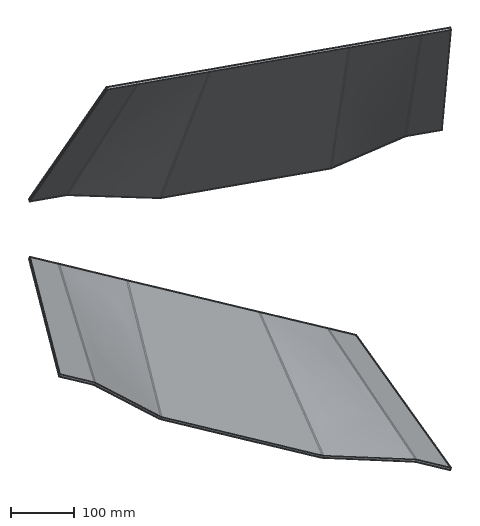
import cadquery as cq
import math

length_x = 236.0
width_y = 675.0
height_z = 358.5
thickness = 4.4

bottom_edge_y = width_y / 2
top_edge_y = 281.5
bottom_outer_fold_y = 277.5
top_outer_fold_y = 232.0
bottom_inner_fold_y = 140.0
top_inner_fold_y = 114.0

middle_setback_x = 50.5

bend_width = 3.0


def sheet_normal(run, rise):
    """Thickness offset, toward +X and -Z, of a panel with this run and rise."""
    slope_length = math.hypot(run, rise)
    return cq.Vector(rise, 0, -run) * (thickness / slope_length)


wing_offset = sheet_normal(length_x, height_z)
back_bottom_x = wing_offset.x
back_top_z = height_z + wing_offset.z
middle_back_x = back_bottom_x + middle_setback_x
middle_offset = sheet_normal(length_x - middle_back_x, back_top_z)


def section(edge_y, outer_fold_y, inner_fold_y, wing_x, middle_x, z):
    """Front and back points across the sheet at one end, from -Y to +Y."""
    half_bend = bend_width / 2
    web_width = outer_fold_y - inner_fold_y
    web_step_x = (middle_x - wing_x) * half_bend / web_width
    half = [
        (cq.Vector(wing_x, edge_y, z), wing_offset),
        (cq.Vector(wing_x, outer_fold_y + half_bend, z), wing_offset),
        (cq.Vector(wing_x + web_step_x, outer_fold_y - half_bend, z), wing_offset),
        (cq.Vector(middle_x - web_step_x, inner_fold_y + half_bend, z), middle_offset),
        (cq.Vector(middle_x, inner_fold_y - half_bend, z), middle_offset),
    ]
    mirrored = [(cq.Vector(p.x, -p.y, p.z), offset) for p, offset in half]
    stations = mirrored + half[::-1]
    back = [p for p, _ in stations]
    front = [p - offset for p, offset in stations]
    return front, back


def ruled_face(a, b, c, d):
    """Face ruled between the straight edges a-b and c-d."""
    return cq.Face.makeRuledSurface(cq.Edge.makeLine(a, b), cq.Edge.makeLine(c, d))


bottom_front, bottom_back = section(
    bottom_edge_y, bottom_outer_fold_y, bottom_inner_fold_y, back_bottom_x, middle_back_x, 0
)
top_front, top_back = section(
    top_edge_y, top_outer_fold_y, top_inner_fold_y, length_x, length_x, back_top_z
)

faces = []
strips = [
    (bottom_front, top_front),
    (top_front, top_back),
    (top_back, bottom_back),
    (bottom_back, bottom_front),
]
for start, end in strips:
    for i in range(len(start) - 1):
        faces.append(ruled_face(start[i], start[i + 1], end[i], end[i + 1]))

for i in (0, -1):
    faces.append(ruled_face(bottom_front[i], bottom_back[i], top_front[i], top_back[i]))

sheet = cq.Solid.makeSolid(cq.Shell.makeShell(faces))
result = cq.Workplane("XY").newObject([sheet.fix()])